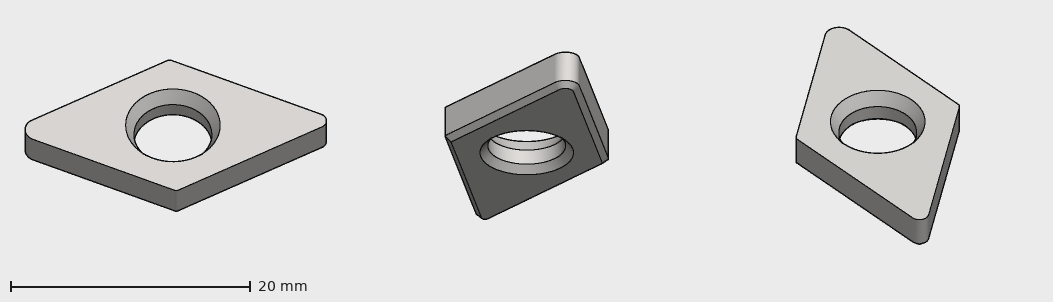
import cadquery as cq
import math

overall_length = 22.55
thickness = 3.18
acute_angle = math.radians(55)
left_nose_radius = 1.2
right_nose_radius = 0.8
obtuse_corner_radius = 0.4
base_chamfer = 0.5

bore_radius = 3.25
mouth_radius = 3.95
mouth_depth = 1.2
exit_chamfer = 0.65

nose_trim_ratio = 1 / math.tan(acute_angle / 2) - 1
sharp_length = overall_length + nose_trim_ratio * (left_nose_radius + right_nose_radius)
width = sharp_length / (1 / math.sin(acute_angle) + 1 / math.tan(acute_angle))
side_length = width / math.sin(acute_angle)


def make_nosed_prism():
    """Rhombic prism with rounded acute corners and sharp obtuse corners."""
    half_length = sharp_length / 2
    half_width = width / 2
    corners = [
        (-half_length, -half_width),
        (-half_length + side_length, -half_width),
        (half_length, half_width),
        (half_length - side_length, half_width),
    ]
    prism = cq.Workplane("XY").polyline(corners).close().extrude(thickness)
    prism = prism.edges("|Z").edges("<X").fillet(left_nose_radius)
    return prism.edges("|Z").edges(">X").fillet(right_nose_radius)


def make_plate():
    """Chamfer the base up to sharp corners, then round the obtuse corners."""
    prism = make_nosed_prism()
    chamfered = prism.faces("<Z").edges().chamfer(base_chamfer)
    obtuse_x = side_length - sharp_length / 2
    obtuse_points = [(obtuse_x, -width / 2, thickness / 2), (-obtuse_x, width / 2, thickness / 2)]
    rounded = prism
    for point in obtuse_points:
        obtuse_edge = cq.selectors.NearestToPointSelector(point)
        rounded = rounded.edges("|Z").edges(obtuse_edge).fillet(obtuse_corner_radius)
    return chamfered.intersect(rounded)


def make_hole_cutter():
    """Revolved profile of the hole about Z."""
    return (
        cq.Workplane("XZ")
        .lineTo(bore_radius + exit_chamfer, 0)
        .lineTo(bore_radius, exit_chamfer)
        .lineTo(bore_radius, thickness - mouth_depth)
        .lineTo(mouth_radius, thickness)
        .lineTo(0, thickness)
        .close()
        .revolve(360, (0, 0, 0), (0, 1, 0))
    )


result = make_plate().cut(make_hole_cutter())